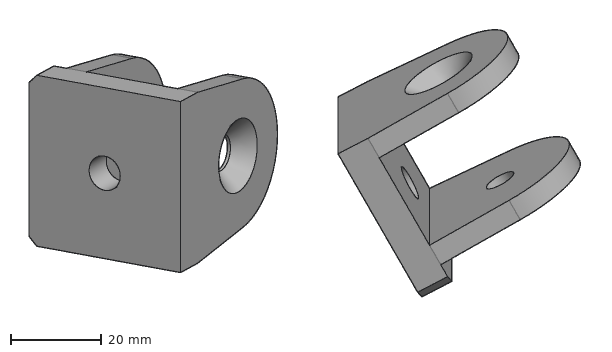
import cadquery as cq
import math

width = 38.9
depth = 42.95
height = 40.0
plate_thickness = 7.6
edge_chamfer = 2.0
plate_hole_diameter = 8.0

lug_thickness = 5.2
left_lug_x = 5.2
lug_radius = 17.5
pin_hole_diameter = 6.9

clearance_hole_diameter = 8.4
countersink_diameter = 17.0
clearance_hole_length = 0.8

half_height = height / 2
pin_y = depth - lug_radius

corner_distance = math.hypot(pin_y - plate_thickness, half_height)
corner_angle = math.atan2(half_height, plate_thickness - pin_y)
tangent_angle = corner_angle - math.acos(lug_radius / corner_distance)
tangent_y = pin_y + lug_radius * math.cos(tangent_angle)
tangent_z = lug_radius * math.sin(tangent_angle)


def make_plate():
    """Plate with its two left edges chamfered and a central through hole."""
    plate = cq.Workplane("XY").box(width, plate_thickness, height, centered=(False, False, True))
    plate = plate.faces("<X").edges("|Y").chamfer(edge_chamfer)
    back = cq.Workplane("XZ", origin=(width / 2, plate_thickness, 0))
    hole = back.circle(plate_hole_diameter / 2).extrude(plate_thickness)
    return plate.cut(hole)


def make_lug(x_start, hole_diameter):
    """Tapered, round-ended lug with a hole concentric with its end."""
    return (
        cq.Workplane("YZ", origin=(x_start, 0, 0))
        .moveTo(plate_thickness, -half_height)
        .lineTo(tangent_y, -tangent_z)
        .threePointArc((depth, 0), (tangent_y, tangent_z))
        .lineTo(plate_thickness, half_height)
        .close()
        .moveTo(pin_y, 0)
        .circle(hole_diameter / 2)
        .extrude(lug_thickness)
    )


def make_countersunk_lug(x_start):
    """Lug with a wider hole, countersunk from the +X face."""
    countersink = (
        cq.Workplane("YZ", origin=(x_start + clearance_hole_length, pin_y, 0))
        .circle(clearance_hole_diameter / 2)
        .workplane(offset=lug_thickness - clearance_hole_length)
        .circle(countersink_diameter / 2)
        .loft(ruled=True)
    )
    return make_lug(x_start, clearance_hole_diameter).cut(countersink)


left_lug = make_lug(left_lug_x, pin_hole_diameter)
right_lug = make_countersunk_lug(width - lug_thickness)
result = make_plate().union(left_lug).union(right_lug)